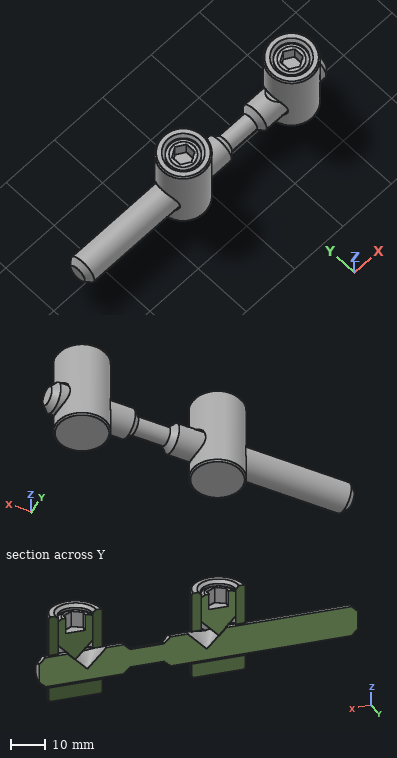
import cadquery as cq


rod_length = 100.0
rod_right_end = 33.9
rod_left_end = rod_right_end - rod_length
rod_diameter = 9.8
rod_radius = rod_diameter / 2
neck_diameter = 6.0
neck_radius = neck_diameter / 2
neck_length = 10.5
taper_length = 2.0

sleeve_spacing = 44.8
sleeve_diameter = 16.9
sleeve_height = 28.0
sleeve_bottom = -10.0
sleeve_top = sleeve_bottom + sleeve_height
sleeve_chamfer = 0.5
cross_hole_diameter = 10.5
screw_hole_mouth_diameter = 12.7

screw_diameter = 10.7
screw_radius = screw_diameter / 2
screw_hole_chamfer = (screw_hole_mouth_diameter - screw_diameter) / 2
screw_face_radius = 4.2
screw_recess = 1.2
screw_face_slope = 0.5
socket_across_flats = 6.0
socket_depth = 5.0

seat_diameter = 12.0
seat_radius = seat_diameter / 2
seat_offset = 3.7
seat_apex = rod_radius - seat_radius
screw_tip = seat_apex + seat_offset
screw_top = sleeve_top - screw_recess


def revolve_about_z(points):
    """Solid of revolution about Z from an outline of (radius, z) points."""
    return cq.Workplane("XZ").polyline(points).close().revolve(360, (0, 0), (0, 1))


def make_seat_cutter():
    """Cone that opens upwards from the seat apex to just above the rod."""
    height = seat_radius + 1.0
    return revolve_about_z([(0, seat_apex), (height, seat_apex + height), (0, seat_apex + height)])


def make_rod():
    """Round rod with tapered ends, a thinner neck and two conical seats."""
    half_neck = neck_length / 2
    outline = [
        (rod_left_end, 0),
        (rod_left_end, neck_radius),
        (rod_left_end + taper_length, rod_radius),
        (-half_neck - taper_length, rod_radius),
        (-half_neck, neck_radius),
        (half_neck, neck_radius),
        (half_neck + taper_length, rod_radius),
        (rod_right_end - taper_length, rod_radius),
        (rod_right_end, neck_radius),
        (rod_right_end, 0),
    ]
    body = cq.Workplane("XY").polyline(outline).close().revolve(360, (0, 0), (1, 0))
    seat_x = sleeve_spacing / 2 - seat_offset
    for x in (-seat_x, seat_x):
        body = body.cut(make_seat_cutter().translate((x, 0, 0)))
    return body


def make_sleeve():
    """Sleeve on the Z axis: clearance hole across it, screw hole from the top."""
    body = cq.Workplane("XY").workplane(offset=sleeve_bottom).circle(sleeve_diameter / 2)
    body = body.extrude(sleeve_height).edges().chamfer(sleeve_chamfer)
    cross_hole = cq.Workplane("YZ").circle(cross_hole_diameter / 2).extrude(sleeve_diameter, both=True)
    screw_hole = revolve_about_z([
        (0, 0),
        (screw_radius, 0),
        (screw_radius, sleeve_top - screw_hole_chamfer),
        (screw_hole_mouth_diameter / 2, sleeve_top),
        (0, sleeve_top),
    ])
    return body.cut(cross_hole).cut(screw_hole)


def make_screw():
    """Set screw on the Z axis with a 90 degree cone point and a hexagon socket."""
    face_drop = (screw_radius - screw_face_radius) * screw_face_slope
    body = revolve_about_z([
        (0, screw_tip),
        (screw_radius, screw_tip + screw_radius),
        (screw_radius, screw_top - face_drop),
        (screw_face_radius, screw_top),
        (0, screw_top),
    ])
    socket = (
        cq.Workplane("XY")
        .workplane(offset=screw_top - socket_depth)
        .polygon(6, socket_across_flats, circumscribed=True)
        .extrude(socket_depth)
    )
    return body.cut(socket)


rod = make_rod()
sleeves = []
screws = []
for sleeve_x in (-sleeve_spacing / 2, sleeve_spacing / 2):
    sleeves.append(make_sleeve().translate((sleeve_x, 0, 0)).val())
    screws.append(make_screw().translate((sleeve_x, 0, 0)).val())

result = cq.Compound.makeCompound([rod.val(), *sleeves, *screws])